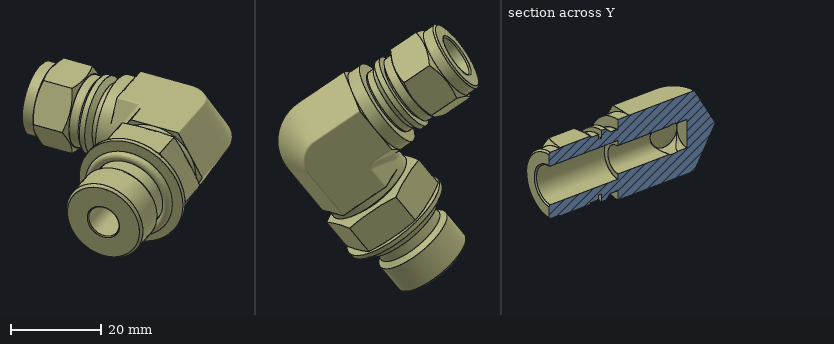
import cadquery as cq
import math


COS_30 = math.cos(math.radians(30))

TOTAL_LENGTH_Y = 49.6
TOTAL_LENGTH_X = 47.8

BODY_DIAMETER = 20.6
EDGE_ROUND = 0.5
VALLEY_ROUND = 1.5
FLATS_END = 12.45
BODY_RADIUS = BODY_DIAMETER / 2
CORNER_RADIUS = BODY_RADIUS / COS_30
FLAT_HALF_WIDTH = CORNER_RADIUS / 2
ELBOW_REACH = CORNER_RADIUS - EDGE_ROUND * (1 / COS_30 - 1)

TUBE_SECTION = cq.Plane(origin=(0, 0, 0), xDir=(0, 1, 0), normal=(-1, 0, 0))
PORT_SECTION = cq.Plane(origin=(0, 0, 0), xDir=(1, 0, 0), normal=(0, -1, 0))

WASHER_DIAMETER = 25.7
TUBE_END = WASHER_DIAMETER / 2 - TOTAL_LENGTH_X
NOSE_LENGTH = 3.0
NOSE_DIAMETER = 17.0
NOSE_CHAMFER_LENGTH = 0.35
NOSE_CHAMFER_DEPTH = 0.5
TUBE_NUT_FLATS = 17.45
TUBE_NUT_HEX_LENGTH = 8.9
TUBE_NUT_CHAMFER_ANGLE = 30.0
SLEEVE_DIAMETER = 16.7
SLEEVE_LENGTH = 2.2
SLEEVE_CHAMFER_LENGTH = 0.4
SLEEVE_CHAMFER_DEPTH = 0.1
NECK_DIAMETER = 14.3
NECK_LENGTH = 0.7
FLANGE_DIAMETER = 18.25
FLANGE_LENGTH = 1.35
SHANK_DIAMETER = 15.8
SHANK_CHAMFER_LENGTH = 0.4
SHANK_CHAMFER_DEPTH = 0.2
TUBE_COLLAR_LENGTH = 3.15
TUBE_COLLAR_END = -(FLATS_END + TUBE_COLLAR_LENGTH)

PORT_END = ELBOW_REACH - TOTAL_LENGTH_Y
PORT_COLLAR_LENGTH = 1.75
PORT_NECK_DIAMETER = 16.7
PORT_NUT_START = -15.1
PORT_NUT_FLATS = 22.25
PORT_NUT_LENGTH = 7.9
PORT_NUT_FACE_DIAMETER = 22.75
PORT_NUT_CHAMFER_ANGLE = 15.0
WASHER_LENGTH = 1.1
WASHER_END = PORT_NUT_START - PORT_NUT_LENGTH - WASHER_LENGTH
THREAD_DIAMETER = 19.0
THREAD_START = -29.15
THREAD_CHAMFER = 0.6

SOCKET_DIAMETER = 9.75
SOCKET_CHAMFER = 0.35
TUBE_BORE_DIAMETER = 7.1
PORT_BORE_DIAMETER = 7.5
PORT_BORE_CHAMFER = 0.25

RING_INNER_DIAMETER = 17.0
RING_CORD_DIAMETER = 2.15


def across_corners(across_flats):
    """Distance across the corners of a hexagon."""
    return across_flats / COS_30


def turned_on_x(points):
    """Solid of revolution about X from (position, radius) points, closed along the axis."""
    outline = [(points[0][0], 0)] + points + [(points[-1][0], 0)]
    return cq.Workplane("XY").polyline(outline).close().revolve(360, (0, 0), (1, 0))


def turned_on_y(points):
    """Solid of revolution about Y from (position, radius) points, closed along the axis."""
    outline = [(0, points[0][0])] + [(radius, y) for y, radius in points] + [(0, points[-1][0])]
    return cq.Workplane("XY").polyline(outline).close().revolve(360, (0, 0), (0, 1))


def chamfered_span(start, end, face_radius, corner_radius, chamfer_angle):
    """(position, radius) points of a cylinder whose two ends taper to face_radius."""
    taper = (corner_radius - face_radius) * math.tan(math.radians(chamfer_angle))
    inward = math.copysign(taper, end - start)
    return [(start, face_radius), (start + inward, corner_radius),
            (end - inward, corner_radius), (end, face_radius)]


def make_leg(plane, collar_length):
    """One elbow leg: a cylinder that ends in the collar, with five hexagon corners around it.

    Local x points to the outside of the bend. The sixth corner, inside the bend, is left round:
    the two flats beside it stop where they touch the cylinder.
    """
    touch_x = -BODY_RADIUS * COS_30
    touch_z = BODY_RADIUS / 2
    corners = (
        cq.Workplane(plane)
        .polyline([
            (touch_x, touch_z),
            (-FLAT_HALF_WIDTH, BODY_RADIUS),
            (FLAT_HALF_WIDTH, BODY_RADIUS),
            (CORNER_RADIUS, 0),
            (FLAT_HALF_WIDTH, -BODY_RADIUS),
            (-FLAT_HALF_WIDTH, -BODY_RADIUS),
            (touch_x, -touch_z),
        ])
        .close()
        .extrude(FLATS_END)
    )
    cylinder = cq.Workplane(plane).circle(BODY_RADIUS).extrude(FLATS_END + collar_length)
    return corners.union(cylinder)


def make_bend():
    """Quarter turn of the outer half of the hexagon about the Z axis."""
    return (
        cq.Workplane("XZ")
        .polyline([
            (0, BODY_RADIUS),
            (FLAT_HALF_WIDTH, BODY_RADIUS),
            (CORNER_RADIUS, 0),
            (FLAT_HALF_WIDTH, -BODY_RADIUS),
            (0, -BODY_RADIUS),
        ])
        .close()
        .revolve(90, (0, 0), (0, 1))
    )


def make_elbow():
    """Both legs and the bend, with the inner corner and the long hexagon edges rounded."""
    tube_leg = make_leg(TUBE_SECTION, TUBE_COLLAR_LENGTH)
    port_leg = make_leg(PORT_SECTION, PORT_COLLAR_LENGTH)
    elbow = tube_leg.union(port_leg).union(make_bend())

    slack = EDGE_ROUND / 2
    inside_corner = cq.selectors.BoxSelector(
        (-BODY_RADIUS - slack, -BODY_RADIUS - slack, -BODY_RADIUS - slack),
        (-FLAT_HALF_WIDTH - slack, -FLAT_HALF_WIDTH - slack, BODY_RADIUS + slack),
    )
    elbow = elbow.edges(inside_corner).fillet(VALLEY_ROUND)

    def lies_between_leg_ends(edge):
        center = edge.Center()
        return min(center.x, center.y) > slack - FLATS_END

    def is_outside_bend(edge):
        center = edge.Center()
        return max(center.x, center.y) > FLAT_HALF_WIDTH

    middle_layer = cq.selectors.BoxSelector(
        (-FLATS_END, -FLATS_END, -slack),
        (CORNER_RADIUS + slack, CORNER_RADIUS + slack, slack),
    )
    flat_edges = elbow.faces("|Z").edges().filter(lies_between_leg_ends)
    ridge_edges = elbow.edges(middle_layer).filter(lies_between_leg_ends).filter(is_outside_bend)
    return flat_edges.add(ridge_edges).fillet(EDGE_ROUND)


def make_tube_end():
    """Tube nut, sleeve, neck, flange and shank of the tube leg."""
    nose_radius = NOSE_DIAMETER / 2
    sleeve_radius = SLEEVE_DIAMETER / 2
    shank_radius = SHANK_DIAMETER / 2
    flange_radius = FLANGE_DIAMETER / 2
    hex_start = TUBE_END + NOSE_LENGTH
    hex_end = hex_start + TUBE_NUT_HEX_LENGTH
    sleeve_end = hex_end + SLEEVE_LENGTH
    flange_start = sleeve_end + NECK_LENGTH
    flange_end = flange_start + FLANGE_LENGTH
    shank_start = flange_end + flange_radius - shank_radius
    turned = turned_on_x([
        (TUBE_END, nose_radius - NOSE_CHAMFER_DEPTH),
        (TUBE_END + NOSE_CHAMFER_LENGTH, nose_radius),
        (hex_start, nose_radius),
        (hex_start, sleeve_radius),
        (sleeve_end - SLEEVE_CHAMFER_LENGTH, sleeve_radius),
        (sleeve_end, sleeve_radius - SLEEVE_CHAMFER_DEPTH),
        (sleeve_end, NECK_DIAMETER / 2),
        (flange_start, NECK_DIAMETER / 2),
        (flange_start, flange_radius),
        (flange_end, flange_radius),
        (shank_start, shank_radius),
        (TUBE_COLLAR_END - SHANK_CHAMFER_LENGTH, shank_radius),
        (TUBE_COLLAR_END, shank_radius - SHANK_CHAMFER_DEPTH),
    ])
    corner_diameter = across_corners(TUBE_NUT_FLATS)
    hexagon = (
        cq.Workplane("YZ", origin=(hex_start, 0, 0))
        .polygon(6, corner_diameter)
        .extrude(TUBE_NUT_HEX_LENGTH)
    )
    envelope = turned_on_x(chamfered_span(
        hex_start, hex_end, nose_radius, corner_diameter / 2, TUBE_NUT_CHAMFER_ANGLE))
    return turned.union(hexagon.intersect(envelope))


def make_port_end():
    """Neck, lock nut, washer and threaded end of the port leg."""
    neck_radius = PORT_NECK_DIAMETER / 2
    thread_radius = THREAD_DIAMETER / 2
    collar_end = -(FLATS_END + PORT_COLLAR_LENGTH)
    nut_end = PORT_NUT_START - PORT_NUT_LENGTH
    turned = turned_on_y([
        (collar_end, neck_radius),
        (nut_end, neck_radius),
        (nut_end, WASHER_DIAMETER / 2),
        (WASHER_END, WASHER_DIAMETER / 2),
        (WASHER_END, neck_radius),
        (THREAD_START, neck_radius),
        (THREAD_START - (thread_radius - neck_radius), thread_radius),
        (PORT_END + THREAD_CHAMFER, thread_radius),
        (PORT_END, thread_radius - THREAD_CHAMFER),
    ])
    corner_diameter = across_corners(PORT_NUT_FLATS)
    hexagon = (
        cq.Workplane("XZ", origin=(0, PORT_NUT_START, 0))
        .polygon(6, corner_diameter)
        .extrude(PORT_NUT_LENGTH)
    )
    envelope = turned_on_y(chamfered_span(
        PORT_NUT_START, nut_end, PORT_NUT_FACE_DIAMETER / 2, corner_diameter / 2,
        PORT_NUT_CHAMFER_ANGLE))
    return turned.union(hexagon.intersect(envelope))


def make_bores():
    """Tube socket and the two bores; each bore stops at the far wall of the other."""
    socket_radius = SOCKET_DIAMETER / 2
    tube_bore_radius = TUBE_BORE_DIAMETER / 2
    port_bore_radius = PORT_BORE_DIAMETER / 2
    tube_bore = turned_on_x([
        (TUBE_END, socket_radius + SOCKET_CHAMFER),
        (TUBE_END + SOCKET_CHAMFER, socket_radius),
        (TUBE_COLLAR_END, socket_radius),
        (TUBE_COLLAR_END, tube_bore_radius),
        (port_bore_radius, tube_bore_radius),
    ])
    port_bore = turned_on_y([
        (PORT_END, port_bore_radius + PORT_BORE_CHAMFER),
        (PORT_END + PORT_BORE_CHAMFER, port_bore_radius),
        (tube_bore_radius, port_bore_radius),
    ])
    return tube_bore.union(port_bore)


def make_sealing_ring():
    """Round-cord ring around the port neck, resting against the washer."""
    cord_radius = RING_CORD_DIAMETER / 2
    cord_center = RING_INNER_DIAMETER / 2 + cord_radius
    return (
        cq.Workplane("XY")
        .center(cord_center, WASHER_END - cord_radius)
        .circle(cord_radius)
        .revolve(360, (-cord_center, 0), (-cord_center, 1))
    )


fitting = (
    make_elbow()
    .union(make_tube_end())
    .union(make_port_end())
    .cut(make_bores())
)
sealing_ring = make_sealing_ring()

result = cq.Compound.makeCompound([fitting.val(), sealing_ring.val()])